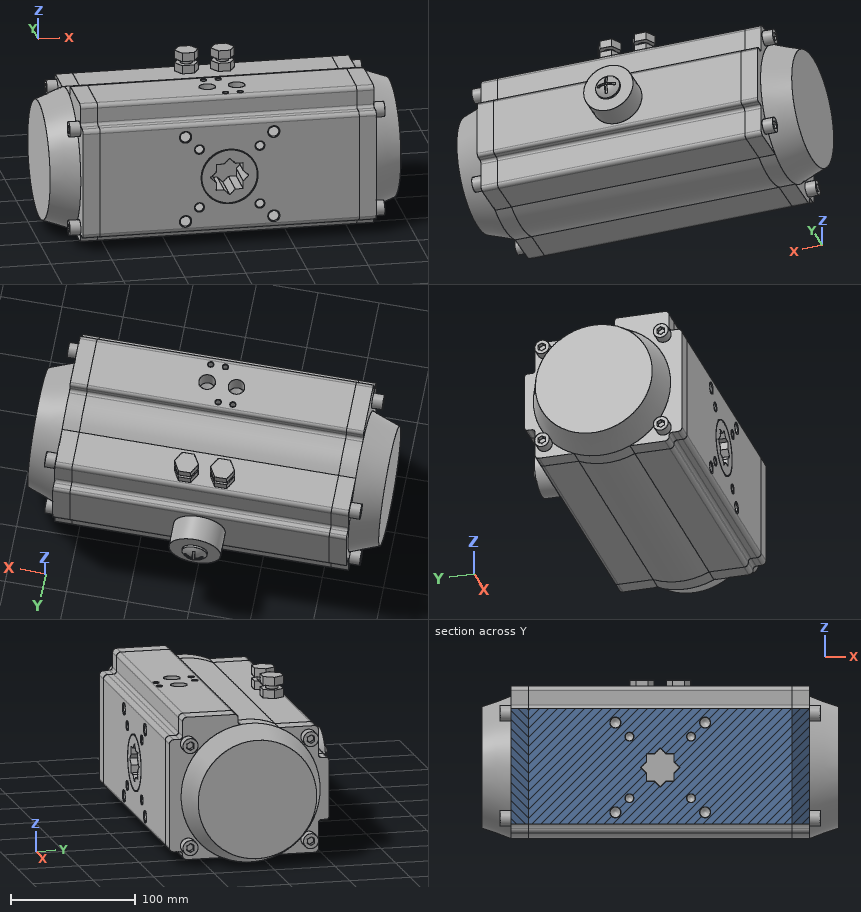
import cadquery as cq
import math


total_length = 287.0
total_height = 127.7
body_length = 212.0
cap_plate_thickness = 14.0
plate_outer_x = body_length / 2 + cap_plate_thickness
cone_length = total_length / 2 - plate_outer_x

cylinder_radius = 57.5
block_half_width = 56.25
block_top = 52.5
block_bottom = -52.5
front_y = -67.1
front_top = 47.5
front_bottom = -45.5
rear_y = 65.0
rear_half_height = 25.7
port_pad_top = 65.5
port_pad_rear_y = -10.4
large_corner_radius = 3.5
small_corner_radius = 2.5
root_radius = 2.5

cone_end_radius = 49.0
bolt_head_radius = 6.2
bolt_head_height = 8.8
bolt_socket_width = 6.0
bolt_socket_depth = 4.0
bolt_ys = (-51.8, 47.8)
bolt_zs = (-40.8, 43.6)

shaft_radius = 21.15
shaft_end_y = 85.8
socket_width = 22.0
socket_depth = 30.0
socket_ring_radius = 23.2
socket_ring_width = 0.5
socket_ring_depth = 1.0

screw_radius = 10.3
screw_rim_height = 1.7
screw_top_y = 92.4
screw_slot_width = 2.0
screw_slot_depth = 2.4

mounting_patterns = (
    (70.0, 8.0, 6.8, 16.0),
    (102.0, 10.0, 8.5, 20.0),
)
mounting_angles = (45, 135, 225, 315)
drill_point_angle = 118.0

port_spacing = 24.0
port_diameter = 13.2
port_depth = 15.0
port_y = -33.2
fixing_spacing = 32.0
fixing_thread_diameter = 5.0
fixing_core_diameter = 4.2
fixing_depth = 8.0

stop_bolt_spacing = 29.5
stop_bolt_y = 43.0
stop_bolt_top = total_height - cylinder_radius
stop_hex_width = 17.0
stop_head_height = 7.3
lock_nut_height = 7.0
stop_stem_radius = 5.0


def hexagon_diameter(width):
    """Corner-to-corner diameter of a hexagon from its width across flats."""
    return width / math.cos(math.radians(30))


def block(x_start, length, y_min, y_max, z_min, z_max):
    return (
        cq.Workplane("XY")
        .box(length, y_max - y_min, z_max - z_min, centered=False)
        .translate((x_start, y_min, z_min))
    )


def section_prism(x_start, length):
    """Length of the actuator's cross-section, with its corners rounded."""
    prism = block(x_start, length, -block_half_width, block_half_width, block_bottom, block_top)
    prism = prism.union(block(x_start, length, front_y, 0, front_bottom, front_top))
    prism = prism.union(block(x_start, length, 0, rear_y, -rear_half_height, rear_half_height))
    prism = prism.union(block(x_start, length, -block_half_width, port_pad_rear_y, 0, port_pad_top))

    rounded_edges = (
        (-block_half_width, port_pad_top, large_corner_radius),
        (port_pad_rear_y, port_pad_top, small_corner_radius),
        (front_y, front_top, large_corner_radius),
        (front_y, front_bottom, large_corner_radius),
        (-block_half_width, front_top, root_radius),
        (-block_half_width, front_bottom, root_radius),
        (-block_half_width, block_bottom, large_corner_radius),
        (block_half_width, block_bottom, large_corner_radius),
        (block_half_width, block_top, large_corner_radius),
        (rear_y, rear_half_height, small_corner_radius),
        (rear_y, -rear_half_height, small_corner_radius),
        (block_half_width, rear_half_height, root_radius),
        (block_half_width, -rear_half_height, root_radius),
    )
    middle_x = x_start + length / 2
    for y, z, radius in rounded_edges:
        edge = cq.NearestToPointSelector((middle_x, y, z))
        prism = prism.edges(edge).fillet(radius)

    cylinder = cq.Workplane("YZ", origin=(x_start, 0, 0)).circle(cylinder_radius).extrude(length)
    prism = prism.union(cylinder)
    pad_root_z = math.sqrt(cylinder_radius**2 - port_pad_rear_y**2)
    pad_root = cq.NearestToPointSelector((middle_x, port_pad_rear_y, pad_root_z))
    return prism.edges(pad_root).fillet(root_radius)


def drilled_hole(diameter, depth):
    """Drill with a conical point, cutting down along -Z from the origin."""
    radius = diameter / 2
    point_length = radius / math.tan(math.radians(drill_point_angle / 2))
    return (
        cq.Workplane("XZ")
        .lineTo(radius, 0)
        .lineTo(radius, -depth)
        .lineTo(0, -depth - point_length)
        .close()
        .revolve(360, (0, 0, 0), (0, 1, 0))
    )


def threaded_hole(thread_diameter, core_diameter, depth):
    """Core drill with a 45 degree countersink that opens to the thread diameter."""
    thread_radius = thread_diameter / 2
    countersink = cq.Workplane("XY").add(cq.Solid.makeCone(0, thread_radius, thread_radius))
    return drilled_hole(core_diameter, depth).union(countersink.translate((0, 0, -thread_radius)))


def shaft_end():
    """Shaft stub on the rear face with the domed, cross-slotted indicator screw."""
    stub = cq.Workplane("XZ").circle(shaft_radius).extrude(-shaft_end_y)
    rim_y = shaft_end_y + screw_rim_height
    dome_height = screw_top_y - rim_y
    dome_radius = (screw_radius**2 + dome_height**2) / (2 * dome_height)
    half_angle = math.asin(screw_radius / dome_radius) / 2
    dome_center_y = screw_top_y - dome_radius
    arc_middle = (
        dome_radius * math.sin(half_angle),
        dome_center_y + dome_radius * math.cos(half_angle),
    )
    screw = (
        cq.Workplane("XY")
        .moveTo(0, 0)
        .lineTo(screw_radius, 0)
        .lineTo(screw_radius, rim_y)
        .threePointArc(arc_middle, (0, screw_top_y))
        .close()
        .revolve(360, (0, 0, 0), (0, 1, 0))
    )
    slot = (
        cq.Workplane("XZ", origin=(0, screw_top_y, 0))
        .rect(2 * screw_radius, screw_slot_width)
        .extrude(screw_slot_depth)
    )
    for angle in (0, 90):
        screw = screw.cut(slot.rotate((0, 0, 0), (0, 1, 0), angle))
    return stub.union(screw)


def shaft_socket():
    """Eight-pointed star socket and the ring groove around it, cut into the front face."""
    face = cq.Workplane("XZ", origin=(0, front_y, 0))
    square = face.rect(socket_width, socket_width).extrude(-socket_depth)
    star = square.union(square.rotate((0, 0, 0), (0, 1, 0), 45))
    ring = (
        face.circle(socket_ring_radius)
        .circle(socket_ring_radius - socket_ring_width)
        .extrude(-socket_ring_depth)
    )
    return star.union(ring)


def stop_bolt(x):
    """Hexagon bolt head above its lock nut."""
    nut_top = block_top + lock_nut_height
    head_bottom = stop_bolt_top - stop_head_height
    stem = cq.Workplane("XY", origin=(x, stop_bolt_y, 0)).circle(stop_stem_radius).extrude(stop_bolt_top)
    for bottom, top in ((0, nut_top), (head_bottom, stop_bolt_top)):
        hexagon = (
            cq.Workplane("XY", origin=(x, stop_bolt_y, bottom))
            .polygon(6, hexagon_diameter(stop_hex_width))
            .extrude(top - bottom)
        )
        stem = stem.union(hexagon)
    return stem


def make_housing():
    body = section_prism(-body_length / 2, body_length)
    body = body.union(shaft_end())
    body = body.cut(shaft_socket())

    for pitch_diameter, thread, core, depth in mounting_patterns:
        drill = threaded_hole(thread, core, depth).rotate((0, 0, 0), (1, 0, 0), 90)
        for angle in mounting_angles:
            x = pitch_diameter / 2 * math.cos(math.radians(angle))
            z = pitch_diameter / 2 * math.sin(math.radians(angle))
            body = body.cut(drill.translate((x, front_y, z)))

    port = drilled_hole(port_diameter, port_depth)
    for x in (-port_spacing / 2, port_spacing / 2):
        body = body.cut(port.translate((x, port_y, port_pad_top)))

    fixing = threaded_hole(fixing_thread_diameter, fixing_core_diameter, fixing_depth)
    for side in (-1, 1):
        for x in (0, -side * port_spacing / 2):
            body = body.cut(fixing.translate((x, port_y + side * fixing_spacing / 2, port_pad_top)))

    for x in (-stop_bolt_spacing / 2, stop_bolt_spacing / 2):
        body = body.union(stop_bolt(x))
    return body


def make_right_cap():
    """End cap on the +X end: plate, conical cover and four socket head bolts."""
    cap = section_prism(body_length / 2, cap_plate_thickness)
    cone = (
        cq.Workplane("YZ", origin=(plate_outer_x, 0, 0))
        .circle(cylinder_radius)
        .workplane(offset=cone_length)
        .circle(cone_end_radius)
        .loft()
    )
    cap = cap.union(cone)

    bolt_centers = [(y, z) for y in bolt_ys for z in bolt_zs]
    heads = (
        cq.Workplane("YZ", origin=(plate_outer_x, 0, 0))
        .pushPoints(bolt_centers)
        .circle(bolt_head_radius)
        .extrude(bolt_head_height)
    )
    cap = cap.union(heads)
    for y, z in bolt_centers:
        socket = (
            cq.Workplane("YZ", origin=(plate_outer_x + bolt_head_height, y, z))
            .transformed(rotate=(0, 0, 90))
            .polygon(6, hexagon_diameter(bolt_socket_width))
            .extrude(-bolt_socket_depth)
        )
        cap = cap.cut(socket)
    return cap


housing = make_housing()
right_cap = make_right_cap()
left_cap = right_cap.mirror("YZ")

result = cq.Compound.makeCompound([housing.val(), left_cap.val(), right_cap.val()])